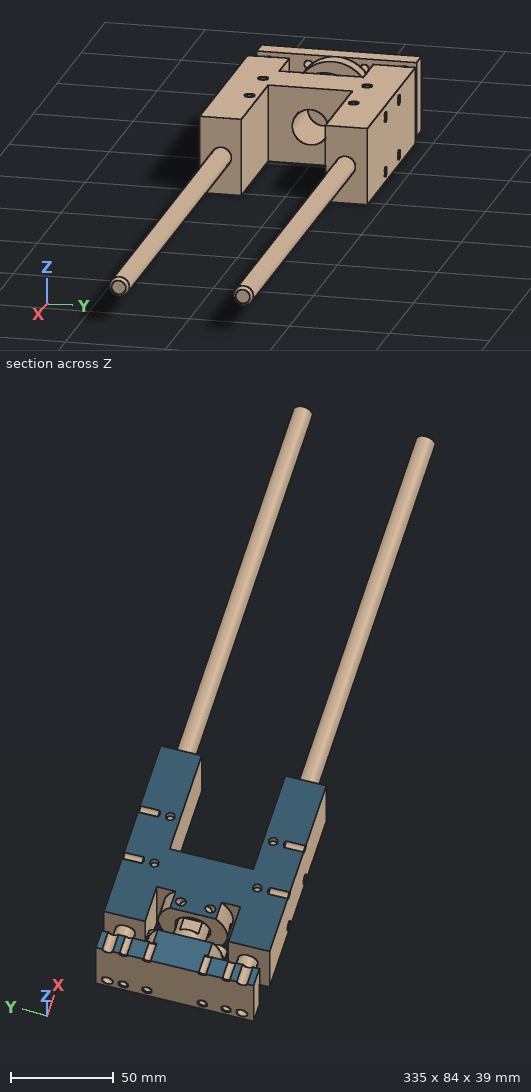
import cadquery as cq
import math


thread_bore_diameter = 4.13
thread_diameter = 5
drill_point_angle = 118

plate_thickness = 10.5
plate_width = 80
plate_height = 38
plate_hole_half_spacing_z = 14
clearance_hole_diameter = 5.5
clearance_hole_y = 34
threaded_hole_rows_y = (14, 26)

overall_length = 335
rod_diameter = 10
rod_y = 31
rod_end_chamfer = 1.5

flange_diameter = plate_height
flange_thickness = 8
shaft_diameter = 16
shaft_flat_distance = 13
shaft_flat_start = 7
shaft_flat_length = 7
screw_head_diameter = 8.5
screw_head_height = 5
screw_y = 15.75

block_length = 100
block_width = 84
block_top = 20
block_bottom = -plate_height / 2
plate_to_block_gap = 10.7
fork_gap = 42
front_slot_depth = 20.8
bridge_thickness = 23
mounting_hole_depth = 10
mounting_hole_setback = 33.8
mounting_hole_pitch_x = 28
top_hole_y = 26
side_hole_half_spacing_z = 14

nut_diameter = 35
nut_bore_diameter = 18
nut_thickness = 10
spanner_hole_diameter = 4.13
spanner_hole_depth = 5
spanner_hole_count = 6
full_turn = 360

block_front = plate_thickness + plate_to_block_gap
mounting_hole_first_x = block_front + mounting_hole_setback
bridge_front = block_front + front_slot_depth
bridge_back = bridge_front + bridge_thickness
block_back = block_front + block_length
nut_front = bridge_front - nut_thickness
flange_back = plate_thickness + flange_thickness
shaft_end = nut_front + nut_thickness / 2
flats_start = flange_back + shaft_flat_start
flats_end = flats_start + shaft_flat_length


def box_between(x_range, y_range, z_range):
    """Box spanning the given ranges along the three axes."""
    size = [high - low for low, high in (x_range, y_range, z_range)]
    corner = (x_range[0], y_range[0], z_range[0])
    return cq.Workplane("XY").box(*size, centered=False).translate(corner)


def rod_along_x(diameter, x_start, x_end, y=0, z=0):
    """Cylinder parallel to the stroke axis."""
    plane = cq.Workplane("YZ", origin=(x_start, y, z))
    return plane.circle(diameter / 2).extrude(x_end - x_start)


def drill(diameter, depth, start, direction):
    """Cylinder to cut for a hole that enters at start and runs along direction."""
    cutter = cq.Solid.makeCylinder(diameter / 2, depth, cq.Vector(*start), cq.Vector(*direction))
    return cq.Workplane(cutter)


def threaded_hole(depth, start, direction):
    """Cutter for a threaded hole: bore plus a 45 degree entry chamfer."""
    entry_radius = thread_diameter / 2
    bore_radius = thread_bore_diameter / 2
    cone = cq.Solid.makeCone(
        entry_radius,
        bore_radius,
        entry_radius - bore_radius,
        cq.Vector(*start),
        cq.Vector(*direction),
    )
    return drill(thread_bore_diameter, depth, start, direction).union(cq.Workplane(cone))


def blind_threaded_hole(depth, start, direction):
    """Threaded hole that ends in a conical drill point."""
    bore_radius = thread_bore_diameter / 2
    point_length = bore_radius / math.tan(math.radians(drill_point_angle / 2))
    axis = cq.Vector(*direction)
    bottom = cq.Vector(*start) + axis * depth
    point = cq.Solid.makeCone(bore_radius, 0, point_length, bottom, axis)
    return threaded_hole(depth, start, direction).union(cq.Workplane(point))


def make_plate():
    half_width = plate_width / 2
    half_height = plate_height / 2
    plate = box_between((0, plate_thickness), (-half_width, half_width), (-half_height, half_height))
    for side in (-1, 1):
        for z in (-plate_hole_half_spacing_z, plate_hole_half_spacing_z):
            y = side * clearance_hole_y
            plate = plate.cut(rod_along_x(clearance_hole_diameter, 0, plate_thickness, y, z))
            for row_y in threaded_hole_rows_y:
                plate = plate.cut(threaded_hole(plate_thickness, (0, side * row_y, z), (1, 0, 0)))
    return plate


def make_coupling():
    flange = rod_along_x(flange_diameter, plate_thickness, flange_back)
    shaft = rod_along_x(shaft_diameter, flange_back, shaft_end)
    flat = shaft_flat_distance / 2
    radius = shaft_diameter / 2
    for z_range in ((flat, radius), (-radius, -flat)):
        shaft = shaft.cut(box_between((flats_start, flats_end), (-radius, radius), z_range))
    coupling = flange.union(shaft)
    for y in (-screw_y, screw_y):
        head = rod_along_x(screw_head_diameter, flange_back, flange_back + screw_head_height, y)
        coupling = coupling.union(head)
    return coupling


def make_carriage():
    carriage = make_plate().union(make_coupling())
    for y in (-rod_y, rod_y):
        rod = rod_along_x(rod_diameter, plate_thickness, overall_length, y)
        carriage = carriage.union(rod.faces(">X").chamfer(rod_end_chamfer))
    return carriage


def make_ring_nut():
    nut = rod_along_x(nut_diameter, nut_front, bridge_front)
    radius = nut_diameter / 2
    hole = drill(
        spanner_hole_diameter,
        spanner_hole_depth,
        (nut_front + nut_thickness / 2, radius, 0),
        (0, -1, 0),
    )
    for index in range(spanner_hole_count):
        angle = index * full_turn / spanner_hole_count
        nut = nut.cut(hole.rotate((0, 0, 0), (1, 0, 0), angle))
    return nut


def cut_mounting_holes(block):
    half_width = block_width / 2
    for x in (mounting_hole_first_x, mounting_hole_first_x + mounting_hole_pitch_x):
        for side in (-1, 1):
            entries = [((x, side * top_hole_y, block_top), (0, 0, -1))]
            for z in (-side_hole_half_spacing_z, side_hole_half_spacing_z):
                entries.append(((x, side * half_width, z), (0, -side, 0)))
            for start, direction in entries:
                block = block.cut(blind_threaded_hole(mounting_hole_depth, start, direction))
    return block


def make_guide_block():
    half_width = block_width / 2
    half_gap = fork_gap / 2
    height = (block_bottom, block_top)
    block = box_between((block_front, block_back), (-half_width, half_width), height)
    for x_range in ((block_front, bridge_front), (bridge_back, block_back)):
        block = block.cut(box_between(x_range, (-half_gap, half_gap), height))
    block = cut_mounting_holes(block)
    block = block.union(make_ring_nut())
    block = block.cut(rod_along_x(nut_bore_diameter, nut_front, bridge_back))
    for y in (-rod_y, rod_y):
        block = block.cut(rod_along_x(rod_diameter, block_front, block_back, y))
    return block


carriage = make_carriage().solids()
guide_block = make_guide_block().solids()

result = cq.Compound.makeCompound([carriage.val(), guide_block.val()])